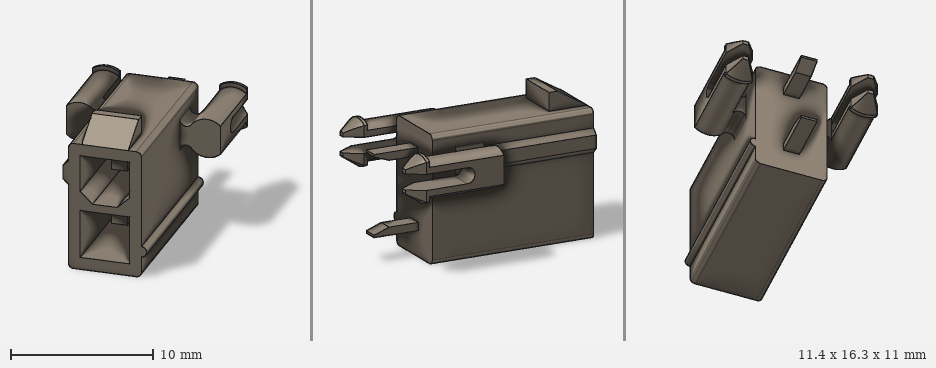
import cadquery as cq
import math


body_width = 5.4
body_length = 12.8
body_height = 9.6
corner_radius = 0.39
half_body = body_width / 2

latch_width = 3.44
latch_length = 3.03
latch_flat = 0.67
latch_height = 1.4

cavity_width = 3.65
cavity_height = 3.6
cavity_depth = 9.78
cavity_pitch = 4.2
lower_cavity_z = 2.72
upper_cavity_z = lower_cavity_z + cavity_pitch
key_chamfer_x = 0.91
key_chamfer_z = 0.86

blade_setback = 3.26
blade_height = 1.14
lower_blade_z = 2.92
blade_pitch = 4.15
pin_width = 1.19
pin_thickness = 0.6
pin_end = 16.3
pin_taper_length = 1.17
pin_tip_thickness = 0.18
lower_pin_bottom = 1.95
upper_pin_top = 8.1

overall_width = 11.4
peg_width = 1.99
peg_radius = 1.47
peg_z = 7.3
peg_start = 8.69
peg_end = 16.1
peg_x = (overall_width - peg_width) / 2
barb_radius = 1.78
barb_start = 14.57
barb_rim = 0.26
tip_radius = 0.91
tip_width = 0.44
slot_height = 1.19
slot_bottom = 10.99

web_end = 10.97
web_fillet = 0.47

rib_projection = 0.4
rib_base_height = 1.81
rib_crest_height = 1.0
bead_radius = 0.39
bead_z = 1.97


def section_at(y):
    """Work plane across the part at depth y: local x is X, local y is Z; +Y is a negative extrusion."""
    return cq.Workplane("XZ", origin=(0, y, 0))


def block(x_size, z_size, x, z, y_start, y_end):
    """Box centred on (x, z), running from y_start to y_end."""
    return section_at(y_start).center(x, z).rect(x_size, z_size).extrude(y_start - y_end)


def make_housing():
    housing = block(body_width, body_height, 0, body_height / 2, 0, body_length)
    return housing.edges("|Y").fillet(corner_radius)


def make_latch():
    top = body_height + latch_height
    profile = [
        (0, body_height),
        (latch_length - latch_flat, top),
        (latch_length, top),
        (latch_length, body_height - corner_radius),
        (0, body_height - corner_radius),
    ]
    return cq.Workplane("YZ").polyline(profile).close().extrude(latch_width / 2, both=True)


def make_cavities():
    lower = block(cavity_width, cavity_height, 0, lower_cavity_z, 0, cavity_depth)
    half_width = cavity_width / 2
    bottom = upper_cavity_z - cavity_height / 2
    top = upper_cavity_z + cavity_height / 2
    keyed_outline = [
        (-half_width, top),
        (half_width, top),
        (half_width, bottom + key_chamfer_z),
        (half_width - key_chamfer_x, bottom),
        (key_chamfer_x - half_width, bottom),
        (-half_width, bottom + key_chamfer_z),
    ]
    upper = section_at(0).polyline(keyed_outline).close().extrude(-cavity_depth)
    return lower.union(upper)


def make_solder_pin(flat_z, inward):
    """Pin whose outer flat is at flat_z; inward (+1 or -1) points from the flat to the tapered side."""
    profile = [
        (cavity_depth, flat_z),
        (pin_end, flat_z),
        (pin_end, flat_z + inward * pin_tip_thickness),
        (pin_end - pin_taper_length, flat_z + inward * pin_thickness),
        (cavity_depth, flat_z + inward * pin_thickness),
    ]
    return cq.Workplane("YZ").polyline(profile).close().extrude(pin_width / 2, both=True)


def make_contacts():
    contacts = make_solder_pin(lower_pin_bottom, 1).union(make_solder_pin(upper_pin_top, -1))
    for blade_z in (lower_blade_z, lower_blade_z + blade_pitch):
        blade = block(pin_width, blade_height, 0, blade_z, blade_setback, body_length)
        contacts = contacts.union(blade)
    return contacts


def make_peg():
    """Barbed, split peg on the +X side."""
    cone_start = barb_start + barb_rim
    half_width = peg_width / 2
    turned_profile = [
        (0, peg_start),
        (peg_radius, peg_start),
        (peg_radius, barb_start),
        (barb_radius, barb_start),
        (barb_radius, cone_start),
        (tip_radius, peg_end),
        (0, peg_end),
    ]
    peg = cq.Workplane("XY").polyline(turned_profile).close().revolve(360, (0, 0, 0), (0, 1, 0))

    flat_outline = [
        (-half_width, peg_start),
        (half_width, peg_start),
        (half_width, cone_start),
        (tip_width / 2, peg_end),
        (-tip_width / 2, peg_end),
        (-half_width, cone_start),
    ]
    peg = peg.intersect(cq.Workplane("XY").polyline(flat_outline).close().extrude(barb_radius, both=True))

    slot_radius = slot_height / 2
    slot = (
        cq.Workplane("YZ")
        .moveTo(peg_end, -slot_radius)
        .lineTo(slot_bottom + slot_radius, -slot_radius)
        .threePointArc((slot_bottom, 0), (slot_bottom + slot_radius, slot_radius))
        .lineTo(peg_end, slot_radius)
        .close()
        .extrude(half_width, both=True)
    )
    return peg.cut(slot).translate((peg_x, 0, peg_z))


def make_web():
    """Web on the +X side; its hollow edges are tangent to the housing and to the round of the peg."""
    hollow_x = half_body + web_fillet
    hollow_z = math.sqrt((peg_radius + web_fillet) ** 2 - (peg_x - hollow_x) ** 2)
    to_touch = peg_radius / (peg_radius + web_fillet)
    touch_x = peg_x - (peg_x - hollow_x) * to_touch
    touch_z = hollow_z * to_touch
    waist_z = hollow_z - web_fillet
    web = (
        section_at(peg_start)
        .center(0, peg_z)
        .moveTo(half_body, hollow_z)
        .threePointArc((hollow_x, waist_z), (touch_x, touch_z))
        .lineTo(peg_x, touch_z)
        .lineTo(peg_x, -touch_z)
        .lineTo(touch_x, -touch_z)
        .threePointArc((hollow_x, -waist_z), (half_body, -hollow_z))
        .close()
        .extrude(peg_start - web_end)
    )
    peg_round = section_at(peg_start).center(peg_x, peg_z).circle(peg_radius).extrude(peg_start - web_end)
    inner_half = block(peg_x - half_body, 2 * peg_radius, (peg_x + half_body) / 2, peg_z, peg_start, web_end)
    return web.union(peg_round.intersect(inner_half))


def make_rib():
    outline = [
        (-half_body, peg_z - rib_base_height / 2),
        (-half_body - rib_projection, peg_z - rib_crest_height / 2),
        (-half_body - rib_projection, peg_z + rib_crest_height / 2),
        (-half_body, peg_z + rib_base_height / 2),
    ]
    return section_at(0).polyline(outline).close().extrude(-peg_start)


def make_bead():
    return section_at(0).center(half_body, bead_z).circle(bead_radius).extrude(-body_length)


mount = make_peg().union(make_web())

result = (
    make_housing()
    .union(make_latch())
    .union(make_rib())
    .union(make_bead())
    .cut(make_cavities())
    .union(make_contacts())
    .union(mount)
    .union(mount.mirror("YZ"))
)